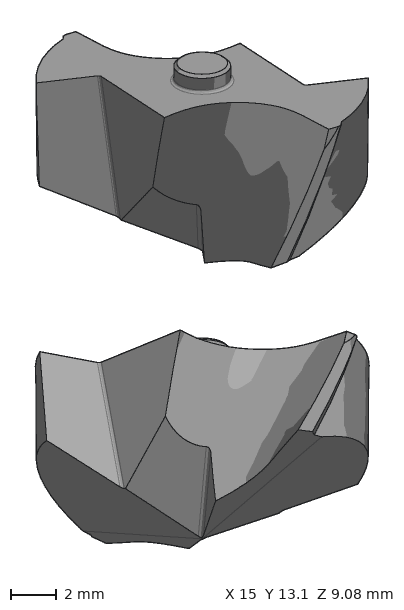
import cadquery as cq
import math

margin_radius = 7.5
land_front_radius = 7.34
land_back_radius = 7.14
tip_z = -8.24
tip_allowance = 0.15
twist_per_unit = 4.333
margin_angles = (14.5, 20.0)
land_start_angle = 22.0

flute_wall = [(5.84, 1.74), (4.28, 1.41), (2.94, 0.4), (2.16, -1.05), (2.01, -2.26), (2.15, -3.45)]
flute_exit_x = 2.7

pocket_wall_y = -3.44
pocket_wall_lean = 0.015
pocket_corner_x = -2.9
pocket_end_outer = (-3.82, -6.1, 0)
pocket_root = (-1.56, -3.38, -6.45)
pocket_fillet = 0.15

bevel_top_x = 7.11
bevel_height = 1.2

lip_rise = (-0.355, -0.1)
relief_rise = (-0.35, -0.395)
gash_rise = (1.03, -0.965)

gash_root = (2.0, -1.44)
gash_lip = (2.04, -1.26, -7.7)
gash_fillet = 0.22

stud_radius = 1.25
stud_height = 0.84
stud_chamfer = 0.14
stud_root_fillet = 0.14

reach = 30.0
tip = (0, 0, tip_z)


def polar(radius, degrees):
    angle = math.radians(degrees)
    return (radius * math.cos(angle), radius * math.sin(angle))


def turned(point, degrees):
    return polar(math.hypot(*point), math.degrees(math.atan2(point[1], point[0])) + degrees)


def half_space(point, normal):
    """Large block on the side of a plane that its normal points to."""
    return cq.Workplane(cq.Plane(origin=point, normal=normal)).rect(reach, reach).extrude(reach)


def plane_normal(a, b, c):
    return (cq.Vector(*b) - cq.Vector(*a)).cross(cq.Vector(*c) - cq.Vector(*a))


def below_point_face(rise):
    return half_space(tip, cq.Vector(rise[0], rise[1], -1))


def cut_both_sides(body, cutter):
    return body.cut(cutter).cut(cutter.rotate((0, 0, 0), (0, 0, 1), 180))


def twisted_body():
    height = -tip_z + tip_allowance
    twist = twist_per_unit * height
    exit_point = (flute_exit_x, -math.sqrt(land_back_radius**2 - flute_exit_x**2))
    exit_angle = math.degrees(math.atan2(exit_point[1], exit_point[0]))
    land_end_angle = land_start_angle - 180
    margin_front, margin_back = margin_angles
    outline = cq.Workplane("XY", origin=(0, 0, -height)).moveTo(*polar(margin_radius, margin_front - twist))
    for half_turn in (0, -180):
        turn = half_turn - twist
        wall = [turned(p, turn) for p in flute_wall + [exit_point]]
        outline = outline.spline(wall, includeCurrent=True)
        outline = outline.threePointArc(
            polar((land_front_radius + land_back_radius) / 2, (exit_angle + land_end_angle) / 2 + turn),
            polar(land_front_radius, land_end_angle + turn),
        )
        outline = outline.lineTo(*polar(margin_radius, margin_back - 180 + turn))
        outline = outline.threePointArc(
            polar(margin_radius, (margin_front + margin_back) / 2 - 180 + turn),
            polar(margin_radius, margin_front - 180 + turn),
        )
    return outline.close().twistExtrude(height, twist)


def pocket():
    corner = (pocket_corner_x, pocket_wall_y, 0)
    wall_normal = cq.Vector(0, -1, -pocket_wall_lean)
    beyond_wall = half_space(corner, wall_normal)
    end_normal = plane_normal(corner, pocket_end_outer, pocket_root)
    wedge = beyond_wall.intersect(half_space(corner, end_normal))
    root_direction = end_normal.cross(wall_normal)
    root_edge = wedge.edges(cq.selectors.ParallelDirSelector(root_direction)).edges(
        cq.selectors.NearestToPointSelector(corner)
    )
    return root_edge.fillet(pocket_fillet)


def margin_bevel():
    low_edge = (margin_radius, 0, -bevel_height)
    top_edge = (bevel_top_x, 0, 0)
    return half_space(top_edge, plane_normal(low_edge, (margin_radius, 0.15, -bevel_height), top_edge))


def point_faces():
    """Material below the point faces of one tooth, with the gash that parts it from the other."""
    root = (*gash_root, tip_z + gash_rise[0] * gash_root[0] + gash_rise[1] * gash_root[1])
    rake = half_space(tip, plane_normal(tip, gash_lip, root))
    root_direction = cq.Vector(*root) - cq.Vector(*tip)
    gash = below_point_face(gash_rise).intersect(rake)
    root_edges = gash.edges(cq.selectors.ParallelDirSelector(root_direction))
    gash = root_edges.edges(cq.selectors.NearestToPointSelector(root)).fillet(gash_fillet)
    for rise in (lip_rise, relief_rise):
        gash = gash.union(below_point_face(rise))
    return gash


def stud():
    post = cq.Workplane("XY").circle(stud_radius).extrude(stud_height).faces(">Z").chamfer(stud_chamfer)
    flare_radius = stud_radius + stud_root_fillet
    bend = stud_root_fillet * (1 - math.sqrt(0.5))
    flare = (
        cq.Workplane("XZ")
        .lineTo(flare_radius, 0)
        .threePointArc((stud_radius + bend, bend), (stud_radius, stud_root_fillet))
        .lineTo(0, stud_root_fillet)
        .close()
        .revolve(360, (0, 0, 0), (0, 1, 0))
    )
    return post.union(flare)


body = twisted_body()
body = cut_both_sides(body, pocket())
body = cut_both_sides(body, margin_bevel())
body = cut_both_sides(body, point_faces())
result = body.union(stud())